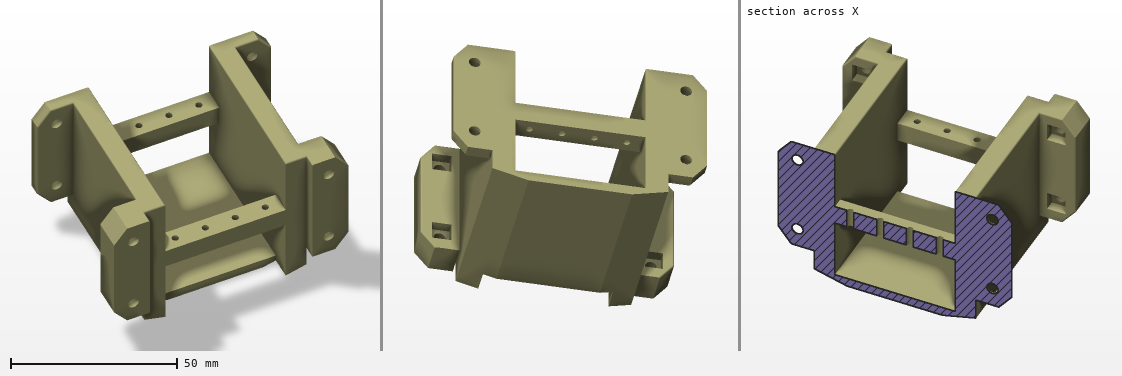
import cadquery as cq

LENGTH = 58.0
WIDTH = 77.9
HEIGHT = 50.0

INNER_WIDTH = 40.0
OUTER_WIDTH = 54.0
BODY_LENGTH = 54.0
EDGE_RADIUS = 0.5

FRONT_FLANGE_DEPTH = 4.0
REAR_FLANGE_DEPTH = 10.05
FLANGE_BOTTOM = 9.9
FLANGE_CORNER_Y = 4.4
FLANGE_CORNER_Z = 5.45

FLOOR_TOP = 3.2
FLOOR_END = 47.1
BEVEL_TOP = 2.9
BEVEL_BOTTOM_WIDTH = 31.8

BAR_TOP = 29.8
BAR_BOTTOM = 23.15
FRONT_BAR_DEPTH = 7.2
REAR_BAR_DEPTH = 7.0
BAR_HOLE_DIAMETER = 2.2
BAR_HOLE_PITCH = 10.0
BAR_HOLE_COUNT = 4
FRONT_BAR_HOLE_X = 3.6
REAR_BAR_HOLE_X = 50.35

FLANGE_HOLE_DIAMETER = 3.6
FLANGE_HOLE_SPAN = 65.0
FLANGE_HOLE_HEIGHTS = (16.5, 43.4)
NUT_POCKET_SIZE = 6.1
NUT_POCKET_DEPTH = 3.3

TOLERANCE = 0.01

REAR_FLANGE_X = LENGTH - REAR_FLANGE_DEPTH
HALF_INNER = INNER_WIDTH / 2
HALF_OUTER = OUTER_WIDTH / 2


def box(x_start, x_end, y_start, y_end, z_start, z_end):
    """Axis-aligned block given by its limits."""
    size = (x_end - x_start, y_end - y_start, z_end - z_start)
    return cq.Workplane("XY").box(*size, centered=False).translate((x_start, y_start, z_start))


def extrude_section(points, x_start, x_end):
    """Extrude a closed (Y, Z) outline along X."""
    return cq.Workplane("YZ", origin=(x_start, 0, 0)).polyline(points).close().extrude(x_end - x_start)


def make_tunnel():
    """Side walls and bevelled floor, still solid between the walls."""
    half_bottom = BEVEL_BOTTOM_WIDTH / 2
    outline = [
        (-HALF_OUTER, HEIGHT),
        (-HALF_OUTER, BEVEL_TOP),
        (-half_bottom, 0),
        (half_bottom, 0),
        (HALF_OUTER, BEVEL_TOP),
        (HALF_OUTER, HEIGHT),
    ]
    return extrude_section(outline, 0, BODY_LENGTH)


def make_flange(x_start, x_end, side):
    """One flange on the given side (+1 or -1) with cut outer corners."""
    inner = side * HALF_OUTER
    outer = side * WIDTH / 2
    shoulder = outer - side * FLANGE_CORNER_Y
    outline = [
        (inner, HEIGHT),
        (shoulder, HEIGHT),
        (outer, HEIGHT - FLANGE_CORNER_Z),
        (outer, FLANGE_BOTTOM + FLANGE_CORNER_Z),
        (shoulder, FLANGE_BOTTOM),
        (inner, FLANGE_BOTTOM),
    ]
    return extrude_section(outline, x_start, x_end)


body = make_tunnel()
for side in (-1, 1):
    body = body.union(make_flange(0, FRONT_FLANGE_DEPTH, side))
    body = body.union(make_flange(REAR_FLANGE_X, LENGTH, side))

body = body.cut(box(0, LENGTH, -HALF_INNER, HALF_INNER, FLOOR_TOP, HEIGHT))
body = body.cut(box(FLOOR_END, LENGTH, -HALF_INNER, HALF_INNER, 0, HEIGHT))


def same(value, target):
    """True when two positions agree within the tolerance."""
    return abs(value - target) < TOLERANCE


def on_flange_inner_face(edge):
    """True for the top, corner and outer edges of the flange faces that look at each other."""
    center = edge.Center()
    on_face = same(center.x, FRONT_FLANGE_DEPTH) or same(center.x, REAR_FLANGE_X)
    above_bottom = center.z > FLANGE_BOTTOM + TOLERANCE
    outside_wall = abs(center.y) > HALF_OUTER + TOLERANCE
    return on_face and above_bottom and outside_wall


def on_wall_top(edge):
    """True for the long top edges of the walls, their rear ends and the flange edges beyond them."""
    center = edge.Center()
    on_wall_side = same(abs(center.y), HALF_OUTER) or same(abs(center.y), HALF_INNER)
    on_wall_end = same(center.x, BODY_LENGTH)
    return same(center.z, HEIGHT) and (on_wall_side or on_wall_end)


edges = [e for e in body.edges().vals() if on_flange_inner_face(e) or on_wall_top(e)]
body = body.newObject(edges).fillet(EDGE_RADIUS)

for bar_start, bar_end, hole_x in (
    (0, FRONT_BAR_DEPTH, FRONT_BAR_HOLE_X),
    (BODY_LENGTH - REAR_BAR_DEPTH, BODY_LENGTH, REAR_BAR_HOLE_X),
):
    bar = box(bar_start, bar_end, -HALF_INNER, HALF_INNER, BAR_BOTTOM, BAR_TOP)
    holes = (
        cq.Workplane("XY", origin=(hole_x, 0, BAR_BOTTOM))
        .rarray(0.8, BAR_HOLE_PITCH, 1, BAR_HOLE_COUNT)
        .circle(BAR_HOLE_DIAMETER / 2)
        .extrude(BAR_TOP - BAR_BOTTOM)
    )
    body = body.union(bar.cut(holes))

for side in (-1, 1):
    for hole_z in FLANGE_HOLE_HEIGHTS:
        hole_y = side * FLANGE_HOLE_SPAN / 2
        hole_plane = cq.Workplane("YZ", origin=(0, hole_y, hole_z))
        body = body.cut(hole_plane.circle(FLANGE_HOLE_DIAMETER / 2).extrude(LENGTH))
        pocket = hole_plane.workplane(offset=REAR_FLANGE_X).rect(NUT_POCKET_SIZE, NUT_POCKET_SIZE)
        body = body.cut(pocket.extrude(NUT_POCKET_DEPTH))

result = body